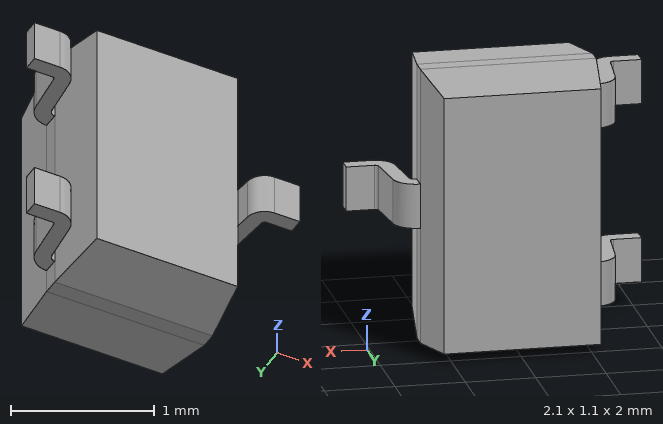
import cadquery as cq
import math

OVERALL_WIDTH = 2.1
BODY_WIDTH = 1.25
BODY_LENGTH = 2.0
BODY_HEIGHT = 1.1
BODY_INSET = 0.067

LEAD_THICKNESS = 0.12
LEAD_WIDTH = 0.323
LEAD_PITCH = 1.3
LEG_TILT = math.radians(6)
FOOT_INNER_RADIUS = 0.025
SHOULDER_INNER_RADIUS = 0.046

BAND_BOTTOM = (BODY_HEIGHT - LEAD_THICKNESS) / 2
BAND_TOP = BAND_BOTTOM + LEAD_THICKNESS


def body_half(outer_y, band_y):
    """Tapered half between its small outer face and the parting band."""
    return (
        cq.Workplane("XZ", origin=(0, outer_y, 0))
        .rect(BODY_WIDTH - 2 * BODY_INSET, BODY_LENGTH - 2 * BODY_INSET)
        .workplane(offset=outer_y - band_y)
        .rect(BODY_WIDTH, BODY_LENGTH)
        .loft(combine=True, ruled=True)
    )


def make_body():
    """Parting band as thick as the leads, with a tapered half on either side."""
    band = cq.Workplane("XY").box(BODY_WIDTH, LEAD_THICKNESS, BODY_LENGTH)
    band = band.translate((0, BODY_HEIGHT / 2, 0))
    lower_half = body_half(0, BAND_BOTTOM)
    upper_half = body_half(BODY_HEIGHT, BAND_TOP)
    return band.union(lower_half).union(upper_half)


def bend_point(center, radius, angle):
    """Point on a bend, with the angle measured from +X."""
    return (center[0] + radius * math.cos(angle), center[1] + radius * math.sin(angle))


def make_left_lead(center_z):
    """Gull-wing lead: flat foot, leaning leg and a shoulder meeting the band."""
    foot_outer = FOOT_INNER_RADIUS + LEAD_THICKNESS
    shoulder_outer = SHOULDER_INNER_RADIUS + LEAD_THICKNESS
    tip_x = -OVERALL_WIDTH / 2
    band_x = -BODY_WIDTH / 2

    radius_sum = FOOT_INNER_RADIUS + SHOULDER_INNER_RADIUS + LEAD_THICKNESS
    bend_rise = radius_sum * (1 - math.sin(LEG_TILT))
    leg_length = (BAND_BOTTOM - bend_rise) / math.cos(LEG_TILT)
    bend_run = radius_sum * math.cos(LEG_TILT) + leg_length * math.sin(LEG_TILT)

    foot_center = (band_x - bend_run, foot_outer)
    shoulder_center = (band_x, BAND_TOP - shoulder_outer)
    foot_end = -LEG_TILT
    foot_middle = (foot_end - math.pi / 2) / 2
    shoulder_start = math.pi - LEG_TILT
    shoulder_middle = (shoulder_start + math.pi / 2) / 2

    def on_foot(radius, angle):
        return bend_point(foot_center, radius, angle)

    def on_shoulder(radius, angle):
        return bend_point(shoulder_center, radius, angle)

    profile = (
        cq.Workplane("XY", origin=(0, 0, center_z))
        .moveTo(tip_x, 0)
        .lineTo(foot_center[0], 0)
        .threePointArc(on_foot(foot_outer, foot_middle), on_foot(foot_outer, foot_end))
        .lineTo(*on_shoulder(SHOULDER_INNER_RADIUS, shoulder_start))
        .threePointArc(
            on_shoulder(SHOULDER_INNER_RADIUS, shoulder_middle),
            (band_x, BAND_BOTTOM),
        )
        .lineTo(band_x, BAND_TOP)
        .threePointArc(
            on_shoulder(shoulder_outer, shoulder_middle),
            on_shoulder(shoulder_outer, shoulder_start),
        )
        .lineTo(*on_foot(FOOT_INNER_RADIUS, foot_end))
        .threePointArc(
            on_foot(FOOT_INNER_RADIUS, foot_middle),
            (foot_center[0], LEAD_THICKNESS),
        )
        .lineTo(tip_x, LEAD_THICKNESS)
        .close()
    )
    return profile.extrude(LEAD_WIDTH / 2, both=True)


body = make_body()

leads = []
for lead_z in (-LEAD_PITCH / 2, LEAD_PITCH / 2):
    leads.append(make_left_lead(lead_z))
leads.append(make_left_lead(0).mirror("YZ"))

result = cq.Compound.makeCompound([body.val(), *[lead.val() for lead in leads]])